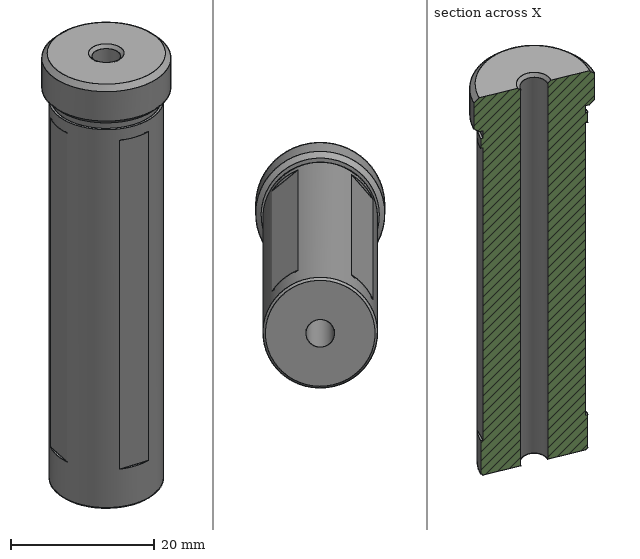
import cadquery as cq

length = 69.85
head_diameter = 18.0
head_height = 6.35
head_chamfer = 0.8

shank_diameter = 16.0
neck_diameter = 15.3
neck_height = 1.25
end_chamfer = 0.35

bore_diameter = 4.0
bore_chamfer = 0.5

flat_count = 4
across_flats = 15.3
flat_bottom = 6.5
flat_top = 60.35

head_bottom = length - head_height
shank_top = head_bottom - neck_height


def make_head():
    """Chamfered disc at the top of the part."""
    head = cq.Workplane("XY").workplane(offset=head_bottom).circle(head_diameter / 2).extrude(head_height)
    return head.faces("<Z or >Z").chamfer(head_chamfer)


def make_shank():
    """Cylinder with a chamfered lower end."""
    shank = cq.Workplane("XY").circle(shank_diameter / 2).extrude(shank_top)
    return shank.faces("<Z").chamfer(end_chamfer)


def make_neck():
    """Narrower cylinder joining the shank to the head."""
    return cq.Workplane("XY").workplane(offset=shank_top).circle(neck_diameter / 2).extrude(neck_height)


def cut_flats(body):
    """Mill equally spaced flats into the shank between its two full-round ends."""
    cutter = (
        cq.Workplane("XY")
        .workplane(offset=flat_bottom)
        .center(across_flats / 2 + shank_diameter / 2, 0)
        .rect(shank_diameter, shank_diameter)
        .extrude(flat_top - flat_bottom)
    )
    for index in range(flat_count):
        angle = index * 360 / flat_count
        body = body.cut(cutter.rotate((0, 0, 0), (0, 0, 1), angle))
    return body


def cut_bore(body):
    """Drill the axial through bore and break its upper edge."""
    body = body.faces(">Z").workplane().hole(bore_diameter)
    return body.faces(">Z").edges(cq.selectors.RadiusNthSelector(0)).chamfer(bore_chamfer)


result = make_shank().union(make_neck()).union(make_head())
result = cut_flats(result)
result = cut_bore(result)